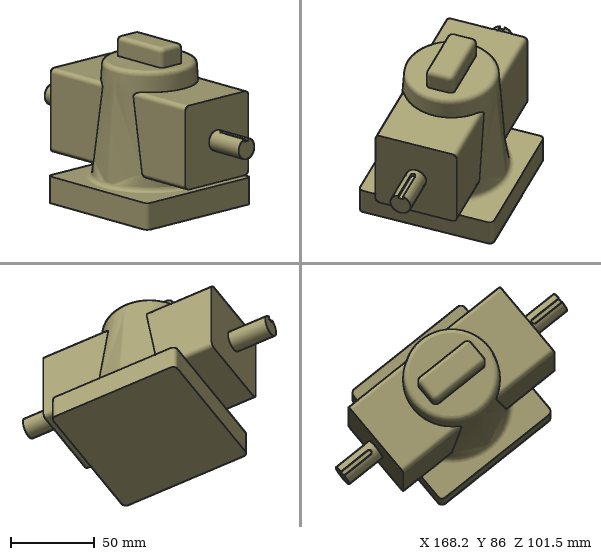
import cadquery as cq

overall_length = 168.2
overall_height = 101.5
edge_radius = 3.0

base_side = 86.0
base_height = 16.6

body_top = 89.5
foot_radius = 34.6
crown_radius = 28.2
flank_hollow = 0.5

housing_length = 116.7
housing_side = 52.1
shaft_height = 50.8

shaft_diameter = 13.0
keyway_length = 22.0
keyway_width = 3.0
keyway_depth = 1.8

tab_length = 40.0
tab_width = 17.8


def make_base():
    base = cq.Workplane("XY").rect(base_side, base_side).extrude(base_height)
    return base.edges("|Z").fillet(edge_radius)


def make_body():
    mid_radius = (foot_radius + crown_radius) / 2 - flank_hollow
    mid_height = (base_height + body_top) / 2
    body = (
        cq.Workplane("XZ")
        .moveTo(0, base_height)
        .lineTo(foot_radius, base_height)
        .threePointArc((mid_radius, mid_height), (crown_radius, body_top))
        .lineTo(0, body_top)
        .close()
        .revolve(360, (0, 0, 0), (0, 1, 0))
    )
    return body.faces(">Z").edges().fillet(edge_radius)


def make_housing():
    housing = cq.Workplane("XY").box(housing_length, housing_side, housing_side)
    return housing.edges("|X").fillet(edge_radius).translate((0, 0, shaft_height))


def make_tab():
    tab = (
        cq.Workplane("XY")
        .workplane(offset=body_top)
        .rect(tab_length, tab_width)
        .extrude(overall_height - body_top)
    )
    return tab.edges("|Z or >Z").fillet(edge_radius)


def make_shaft():
    return (
        cq.Workplane("YZ")
        .center(0, shaft_height)
        .circle(shaft_diameter / 2)
        .extrude(overall_length / 2, both=True)
    )


def make_keyway(side):
    """Slot open at the shaft end and round at its inner end; side is -1 or +1."""
    end_x = side * overall_length / 2
    round_x = end_x - side * (keyway_length - keyway_width / 2)
    floor_height = shaft_height + shaft_diameter / 2 - keyway_depth
    return (
        cq.Workplane("XY")
        .workplane(offset=floor_height)
        .moveTo(end_x, -keyway_width / 2)
        .lineTo(round_x, -keyway_width / 2)
        .threePointArc(
            (round_x - side * keyway_width / 2, 0),
            (round_x, keyway_width / 2),
        )
        .lineTo(end_x, keyway_width / 2)
        .close()
        .extrude(keyway_depth)
    )


pedestal = make_base().union(make_body())
foot_selector = cq.selectors.BoxSelector(
    (-foot_radius, -foot_radius, base_height - edge_radius / 2),
    (foot_radius, foot_radius, base_height + edge_radius / 2),
)
pedestal = pedestal.edges("%CIRCLE").edges(foot_selector).fillet(edge_radius)

result = pedestal.union(make_housing()).union(make_shaft()).union(make_tab())
for side in (-1, 1):
    result = result.cut(make_keyway(side))